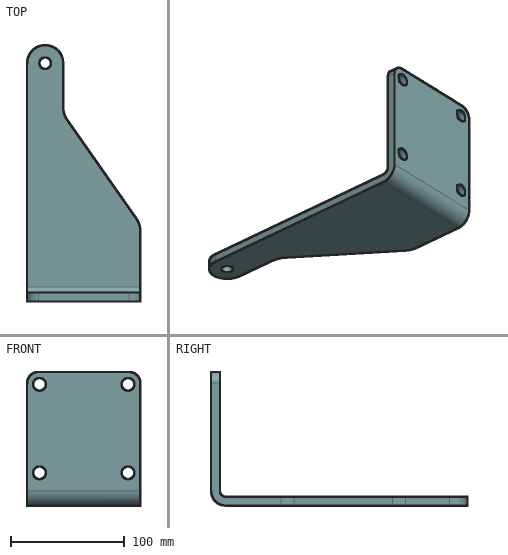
import cadquery as cq

width = 100.0
length = 226.0
height = 118.0
thickness = 8.0

inner_bend_radius = 5.0
outer_bend_radius = inner_bend_radius + thickness

tongue_width = 32.0
tongue_radius = tongue_width / 2
tongue_hole_diameter = 10.0
taper_start_y = 68.0
taper_end_y = 165.0
taper_fillet = 20.0

plate_corner_radius = 10.0
plate_hole_diameter = 11.0
plate_hole_spacing = 78.0
plate_hole_top_margin = 11.0


def fillet_edge_at(body, edge_middle, radius):
    """Fillet the edge whose middle is nearest to the given point."""
    return body.edges(cq.selectors.NearestToPointSelector(edge_middle)).fillet(radius)


def bent_strip():
    """L-shaped sheet profile in YZ, extruded over the full width."""
    strip = (
        cq.Workplane("YZ")
        .polyline([
            (0, 0),
            (length, 0),
            (length, thickness),
            (thickness, thickness),
            (thickness, height),
            (0, height),
        ])
        .close()
        .extrude(width)
    )
    outer_corner = (width / 2, 0, 0)
    inner_corner = (width / 2, thickness, thickness)
    strip = fillet_edge_at(strip, outer_corner, outer_bend_radius)
    return fillet_edge_at(strip, inner_corner, inner_bend_radius)


def base_outline():
    """Plan shape of the bracket, as a prism over the full height."""
    tongue_center_y = length - tongue_radius
    prism = (
        cq.Workplane("XY")
        .moveTo(0, 0)
        .lineTo(width, 0)
        .lineTo(width, taper_start_y)
        .lineTo(tongue_width, taper_end_y)
        .lineTo(tongue_width, tongue_center_y)
        .threePointArc((tongue_radius, length), (0, tongue_center_y))
        .close()
        .extrude(height)
    )
    for corner in ((width, taper_start_y), (tongue_width, taper_end_y)):
        edge_middle = (*corner, height / 2)
        prism = fillet_edge_at(prism, edge_middle, taper_fillet)
    return prism


def round_plate_corners(body):
    """Round the two top corners of the upright plate."""
    return body.faces(">Z").edges("|Y").fillet(plate_corner_radius)


def tongue_hole():
    """Cutter for the hole concentric with the tongue end."""
    return (
        cq.Workplane("XY")
        .center(tongue_radius, length - tongue_radius)
        .circle(tongue_hole_diameter / 2)
        .extrude(thickness)
    )


def plate_holes():
    """Cutters for the four mounting holes through the upright plate."""
    center_z = height - plate_hole_top_margin - plate_hole_spacing / 2
    return (
        cq.Workplane("XZ")
        .center(width / 2, center_z)
        .rarray(plate_hole_spacing, plate_hole_spacing, 2, 2)
        .circle(plate_hole_diameter / 2)
        .extrude(-thickness)
    )


bracket = bent_strip().intersect(base_outline())
bracket = round_plate_corners(bracket)
result = bracket.cut(tongue_hole()).cut(plate_holes())